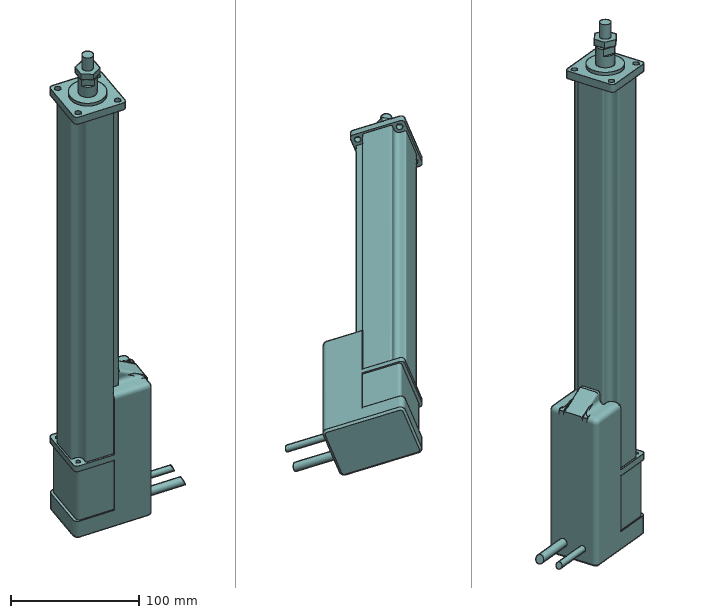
import cadquery as cq
import math


total_height = 455.5
flange_width = 45.0
half_width = flange_width / 2
motor_back_y = 45.5
cable_tip_y = 102.5 - half_width

cover_top_z = 17.5
base_flange_bottom_z = 66.5
base_flange_top_z = 72.0
motor_top_z = 130.5
head_flange_bottom_z = 409.5
head_flange_top_z = 416.5
boss_top_z = 419.0

cover_corner_radius = 4.0
cover_bottom_chamfer = 2.0
gear_block_half_width = 21.5
gear_block_front_y = -20.0
gear_block_corner_radius = 2.7
flange_corner_radius = 3.0
motor_front_y = 12.0
motor_edge_radius = 4.5
boss_diameter = 30.0
screw_offset = 17.5
head_hole_diameter = 5.0
base_hole_diameter = 3.5

tube_half_width = 21.0
arm_half_width = 12.5
arm_edge_radius = 1.25
inner_corner_radius = 4.0

hood_half_width = 8.9
hood_flare_radius = 4.0
hood_edge_radius = 2.5
hood_low_z = 129.5
hood_high_y = 23.5
hood_top_z = 141.0

cable_spacing = 18.0
cable_z = 13.0
cable_diameters = (5.5, 7.5)
cable_cut_angle = 20.0

rod_diameter = 15.0
rod_bottom_z = head_flange_bottom_z
rod_shoulder_z = 435.0
rod_flat_bottom_z = 429.0
rod_flat_width = 11.0
rod_flat_angle = -25.0
thread_diameter = 9.0
nut_bottom_z = 437.5
nut_top_z = 442.7
nut_across_flats = 17.0


def block(x_half, y_min, y_max, z_min, z_max):
    """Box centred on X between the given Y and Z limits."""
    size = (2 * x_half, y_max - y_min, z_max - z_min)
    return cq.Workplane("XY").box(*size, centered=(True, False, False)).translate((0, y_min, z_min))


def make_flange(z_min, z_max):
    """Square plate with rounded corners."""
    plate = block(half_width, -half_width, half_width, z_min, z_max)
    return plate.edges("|Z").fillet(flange_corner_radius)


def make_tube():
    """Extrusion with a cross-shaped section, leaving the screw corners open."""
    height = head_flange_bottom_z - base_flange_top_z
    wide = cq.Workplane("XY").rect(2 * tube_half_width, 2 * arm_half_width).extrude(height)
    deep = cq.Workplane("XY").rect(2 * arm_half_width, 2 * tube_half_width).extrude(height)
    reach = (arm_half_width + tube_half_width) / 2
    inner_corners = cq.selectors.BoxSelector((-reach, -reach, 0), (reach, reach, height))
    tube = wide.union(deep)
    tube = tube.edges("|Z").edges(inner_corners).fillet(inner_corner_radius)
    for end in ("<X", ">X", "<Y", ">Y"):
        tube = tube.faces(end).edges("|Z").fillet(arm_edge_radius)
    return tube.translate((0, 0, base_flange_top_z))


def make_cover():
    """Bottom cover under both the tube and the motor."""
    cover = block(half_width, -half_width, motor_back_y, 0, cover_top_z)
    cover = cover.edges("|Z").fillet(cover_corner_radius)
    return cover.faces("<Z").edges().chamfer(cover_bottom_chamfer)


def make_gear_block():
    """Block between the cover and the base flange."""
    gear_block = block(
        gear_block_half_width, gear_block_front_y, motor_front_y, cover_top_z, base_flange_bottom_z
    )
    return gear_block.edges("|Z and <Y").fillet(gear_block_corner_radius)


def make_motor_case():
    """Motor case with rounded back and top edges."""
    case = block(half_width, motor_front_y, motor_back_y, cover_top_z, motor_top_z)
    case = case.edges("|Z and >Y").fillet(cover_corner_radius)
    return case.edges(">Z and (not <Y)").fillet(motor_edge_radius)


def make_hood_wedge(half_length):
    """Sloping profile of the hood, extruded to both sides of the YZ plane."""
    floor_z = motor_top_z - motor_edge_radius
    return (
        cq.Workplane("YZ")
        .polyline(
            [
                (0, floor_z),
                (motor_back_y, floor_z),
                (motor_back_y, hood_low_z),
                (hood_high_y, hood_top_z),
                (0, hood_top_z),
            ]
        )
        .close()
        .extrude(half_length, both=True)
    )


def make_hood():
    """Sloping hood with rounded side edges and a concave flare onto the motor top."""
    core = make_hood_wedge(hood_half_width)
    core = core.edges("not (|X or |Z or <Z)").fillet(hood_edge_radius)

    foot = hood_half_width + hood_flare_radius
    floor_z = motor_top_z - motor_edge_radius
    flare_top_z = motor_top_z + hood_flare_radius
    arc_inset = hood_flare_radius * (1 - math.sqrt(0.5))
    arc_x = hood_half_width + arc_inset
    arc_z = motor_top_z + arc_inset
    flare = (
        cq.Workplane("XZ")
        .moveTo(-foot, floor_z)
        .lineTo(-foot, motor_top_z)
        .threePointArc((-arc_x, arc_z), (-hood_half_width, flare_top_z))
        .lineTo(hood_half_width, flare_top_z)
        .threePointArc((arc_x, arc_z), (foot, motor_top_z))
        .lineTo(foot, floor_z)
        .close()
        .extrude(-motor_back_y)
    )
    side_flares = flare.cut(block(hood_half_width, 0, motor_back_y, floor_z, hood_top_z))
    return core.union(side_flares.intersect(make_hood_wedge(foot)))


def make_cable(x, diameter):
    """Cable leaving the cover toward +Y, with a slanted end that is longest at the bottom."""
    setback = diameter * math.tan(math.radians(cable_cut_angle))
    bottom_z = cable_z - diameter / 2
    top_z = cable_z + diameter / 2
    cable = cq.Workplane("XZ").center(x, cable_z).circle(diameter / 2).extrude(-cable_tip_y)
    side = (
        cq.Workplane("YZ")
        .polyline([(0, bottom_z), (cable_tip_y, bottom_z), (cable_tip_y - setback, top_z), (0, top_z)])
        .close()
        .extrude(half_width, both=True)
    )
    return cable.intersect(side)


def drill(body, points, diameter, z_min, z_max):
    """Cut round vertical holes between two heights."""
    holes = cq.Workplane("XY").workplane(offset=z_min).pushPoints(points).circle(diameter / 2)
    return body.cut(holes.extrude(z_max - z_min))


def make_housing():
    """Cover, gear block, flanges, tube, motor case, hood and cables in one piece."""
    housing = make_cover()
    housing = housing.union(make_gear_block())
    housing = housing.union(make_motor_case())
    housing = housing.union(make_flange(base_flange_bottom_z, base_flange_top_z))
    housing = housing.union(make_tube())
    housing = housing.union(make_flange(head_flange_bottom_z, head_flange_top_z))
    housing = housing.union(make_hood())
    boss = cq.Workplane("XY").workplane(offset=head_flange_top_z).circle(boss_diameter / 2)
    housing = housing.union(boss.extrude(boss_top_z - head_flange_top_z))
    for side, diameter in zip((-1, 1), cable_diameters):
        housing = housing.union(make_cable(side * cable_spacing / 2, diameter))

    front_points = [(side * screw_offset, -screw_offset) for side in (-1, 1)]
    back_points = [(side * screw_offset, screw_offset) for side in (-1, 1)]
    housing = drill(
        housing, front_points + back_points, head_hole_diameter, head_flange_bottom_z, head_flange_top_z
    )
    housing = drill(housing, front_points, base_hole_diameter, base_flange_bottom_z, base_flange_top_z)
    return drill(housing, [(0, 0)], rod_diameter, rod_bottom_z, boss_top_z)


def make_rod():
    """Rod with two wrench flats at its shoulder and a stud on top."""
    rod = (
        cq.Workplane("XY")
        .workplane(offset=rod_bottom_z)
        .circle(rod_diameter / 2)
        .extrude(rod_shoulder_z - rod_bottom_z)
    )
    flat_height = rod_shoulder_z - rod_flat_bottom_z
    collar = cq.Workplane("XY").circle(rod_diameter).extrude(flat_height)
    flats = cq.Workplane("XY").rect(rod_flat_width, 2 * rod_diameter).extrude(flat_height)
    cutter = collar.cut(flats).rotate((0, 0, 0), (0, 0, 1), rod_flat_angle)
    rod = rod.cut(cutter.translate((0, 0, rod_flat_bottom_z)))
    stud = cq.Workplane("XY").workplane(offset=rod_shoulder_z).circle(thread_diameter / 2)
    return rod.union(stud.extrude(total_height - rod_shoulder_z))


def make_nut():
    """Hexagon nut with two corners on the X axis, bored to the stud diameter."""
    across_corners = nut_across_flats / math.cos(math.pi / 6)
    return (
        cq.Workplane("XY")
        .workplane(offset=nut_bottom_z)
        .polygon(6, across_corners)
        .circle(thread_diameter / 2)
        .extrude(nut_top_z - nut_bottom_z)
    )


housing = make_housing()
rod = make_rod()
nut = make_nut()

result = cq.Compound.makeCompound([housing.val(), rod.val(), nut.val()])